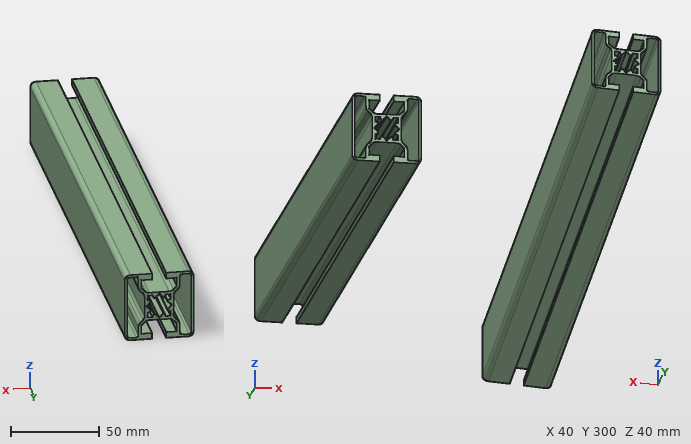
import cadquery as cq

length = 300.0
side = 40.0
half_side = side / 2
corner_radius = 3.3

wall = 1.5
slot_wall = 1.8
lip_thickness = 3.5

core_half = 8.5
core_inner_half = 6.5

slot_opening = 8.0
slot_half_width = 10.2
slot_ceiling = half_side - lip_thickness

chamber_outer = half_side - wall
chamber_inner = slot_half_width + slot_wall
chamber_fillet = 1.2

strut_face_gap = 1.2
strut_fillet = 3.5

tooth_tip_height = 4.8
tooth_tip_inner = 2.5
tooth_tip_outer = 3.0
tooth_root_outer = 4.0
valley_height = 7.2


def extrude_outline(points):
    """Extrude a closed XZ outline along the full length, centred on Y."""
    return cq.Workplane("XZ").polyline(points).close().extrude(length / 2, both=True)


def slot():
    """Upper T-slot, open at the top, with 45-degree bevels blending into its floor."""
    right_half = [
        (slot_opening / 2, half_side),
        (slot_opening / 2, slot_ceiling),
        (slot_half_width, slot_ceiling),
        (slot_half_width, slot_half_width + strut_face_gap),
        (core_half - strut_face_gap, core_half),
    ]
    left_half = [(-x, z) for x, z in reversed(right_half)]
    floor_edges = extrude_outline(right_half + left_half).faces("<Z").edges("|Y")
    return floor_edges.fillet(strut_fillet)


def chamber():
    """Closed right-hand chamber, wide at top and bottom and bevelled around the core."""
    upper = [
        (chamber_outer, chamber_outer),
        (chamber_inner, chamber_outer),
        (chamber_inner, chamber_inner - strut_face_gap),
        (core_half, core_half - strut_face_gap),
    ]
    lower = [(x, -z) for x, z in reversed(upper)]
    blank = extrude_outline(upper + lower)
    strut_zone = cq.selectors.BoxSelector(
        (0, -length, -slot_ceiling),
        (slot_ceiling, length, slot_ceiling),
    )
    blended = blank.edges("|Y").edges(strut_zone).fillet(strut_fillet)
    corner_edges = blended.faces(">Z or <Z").edges("|Y")
    return corner_edges.fillet(chamber_fillet)


def core_bore():
    """Bore of the core with two teeth on each of its four walls."""
    right_half = [
        (tooth_tip_inner, tooth_tip_height),
        (tooth_tip_outer, tooth_tip_height),
        (tooth_root_outer, core_inner_half),
    ]
    left_half = [(-x, z) for x, z in reversed(right_half)]
    corner = [(core_inner_half, core_inner_half)]
    quarter = left_half + [(0, valley_height)] + right_half + corner
    outline = []
    for _ in range(4):
        outline += quarter
        quarter = [(z, -x) for x, z in quarter]
    return extrude_outline(outline)


body = cq.Workplane("XY").box(side, length, side)
body = body.edges("|Y").fillet(corner_radius)
body = body.cut(core_bore())
for cavity in (slot(), chamber()):
    opposite_cavity = cavity.rotate((0, 0, 0), (0, 1, 0), 180)
    body = body.cut(cavity).cut(opposite_cavity)

result = body